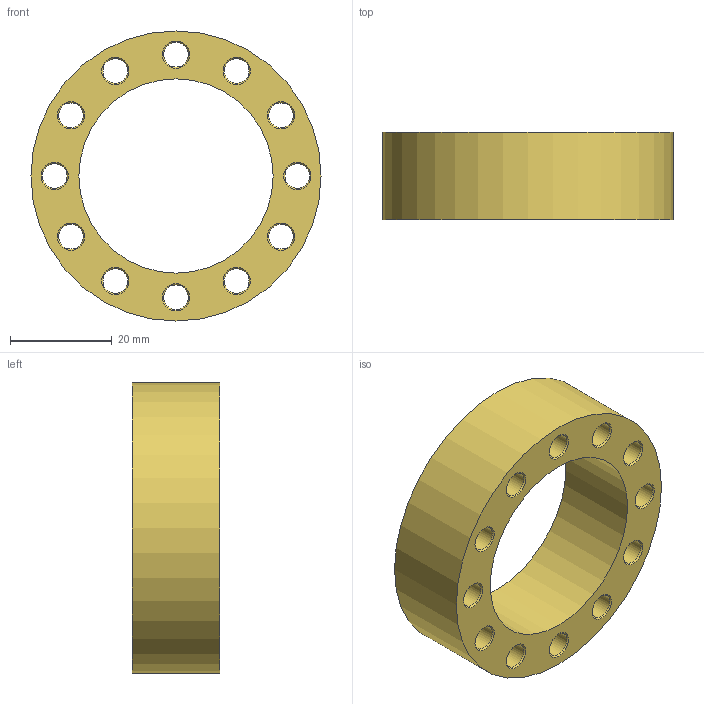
import cadquery as cq

OUTER_DIAMETER = 56.9
BORE_DIAMETER = 38.1
RING_WIDTH = 17.14

HOLE_COUNT = 12
HOLE_DIAMETER = 4.85
HOLE_CIRCLE_DIAMETER = 47.6
HOLE_CHAMFER = 0.25

FRONT_Y = -RING_WIDTH / 2
BACK_Y = RING_WIDTH / 2


def make_ring():
    """Plain ring extruded along -Y from the back face to the front face."""
    return (
        cq.Workplane("XZ", origin=(0, BACK_Y, 0))
        .circle(OUTER_DIAMETER / 2)
        .circle(BORE_DIAMETER / 2)
        .extrude(RING_WIDTH)
    )


def make_hole_cutter():
    """Cutter for one hole on the Y axis, widening to the chamfer at the front face."""
    hole_radius = HOLE_DIAMETER / 2
    mouth_radius = hole_radius + HOLE_CHAMFER
    profile = [
        (0, FRONT_Y),
        (mouth_radius, FRONT_Y),
        (hole_radius, FRONT_Y + HOLE_CHAMFER),
        (hole_radius, BACK_Y),
        (0, BACK_Y),
    ]
    return cq.Workplane("XY").polyline(profile).close().revolve(360, (0, 0), (0, 1))


def cut_holes(ring):
    """Cut the evenly spaced holes, the first one on the +X axis."""
    cutter = make_hole_cutter().translate((HOLE_CIRCLE_DIAMETER / 2, 0, 0))
    for index in range(HOLE_COUNT):
        angle = index * 360 / HOLE_COUNT
        ring = ring.cut(cutter.rotate((0, 0, 0), (0, 1, 0), angle))
    return ring


result = cut_holes(make_ring())